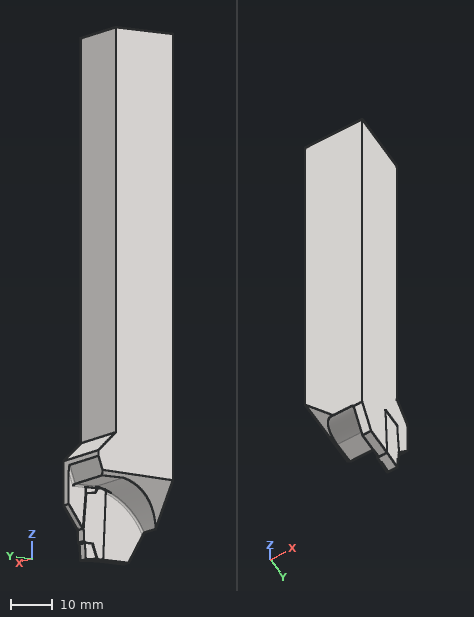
import cadquery as cq

length = 127.0
shank = 16.0
head_depth = 20.8
blade_end = 0.4

shoulder_z = 28.6
head_top = 23.7
head_bottom = 13.0
blade_tip_y = 4.1
front_corner_z = 7.6

blade_thickness = 2.4
blade_x = shank - blade_thickness
roof_z = 17.9
roof_arc_y = 13.5
roof_back_y = 19.3
roof_mid_arc = (4.5, 13.7)
relief_back_z = 22.4
root_fillet = 0.5
clearance = 6.4

flank_z = 18.5
flank_run = 7.7
flank_drop = 10.3
flank_tilt = 1.5

insert_proud = 0.4
insert_x = blade_x - insert_proud
insert_top = 17.5
insert_front_top_y = 10.7
insert_front_foot_y = 11.4
insert_back_y = 16.9
insert_tip_y = 16.1
insert_foot_z = 7.4
insert_back_lower = (16.8, 4.3)

chip_depth = 0.3
lower_chip_corner = (16.4, 4.0)
upper_chip_corner = (insert_tip_y, 16.0)
lower_chip_face = [lower_chip_corner, (14.4, 4.0), (13.1, blade_end), (insert_tip_y, 0),
                   (insert_tip_y + clearance, 0), (insert_tip_y + clearance, 4.0)]
upper_chip_face = [upper_chip_corner, (13.6, 16.4), (13.0, insert_top), (insert_tip_y, insert_top)]


def side_profile(x):
    """Sketch plane whose axes are global Y and Z, at the given X."""
    return cq.Workplane("YZ", origin=(x, 0, 0))


def make_blank():
    return (
        side_profile(0)
        .moveTo(0, length)
        .lineTo(shank, length)
        .lineTo(shank, shoulder_z)
        .lineTo(head_depth, head_top)
        .lineTo(head_depth, head_bottom)
        .lineTo(insert_back_y, insert_foot_z)
        .lineTo(insert_front_foot_y, blade_end)
        .lineTo(blade_tip_y, blade_end)
        .lineTo(0, front_corner_z)
        .close()
        .extrude(shank)
    )


def make_relief():
    """Material removed beside the blade, with a rounded root."""
    slope = (relief_back_z - roof_z) / (head_depth - roof_back_y)
    return (
        side_profile(-clearance)
        .moveTo(roof_back_y, roof_z)
        .lineTo(roof_arc_y, roof_z)
        .threePointArc(roof_mid_arc, (0, front_corner_z + blade_end))
        .lineTo(-clearance, -clearance)
        .lineTo(head_depth + clearance, -clearance)
        .lineTo(head_depth + clearance, roof_z + slope * (head_depth + clearance - roof_back_y))
        .close()
        .extrude(blade_x + clearance)
        .faces(">X")
        .edges()
        .fillet(root_fillet)
    )


def make_flank_cut():
    """Wedge below the sloped flank, on the -X side."""
    reach = 2 * head_depth
    return (
        cq.Workplane("XZ", origin=(0, reach, 0))
        .polyline([(0, flank_z), (flank_run, flank_z - flank_drop), (flank_run, -clearance),
                   (-clearance, -clearance), (-clearance, flank_z)])
        .close()
        .extrude(2 * reach)
        .rotate((0, 0, flank_z), (1, 0, flank_z), flank_tilt)
    )


def make_insert_body():
    return (
        side_profile(insert_x)
        .polyline([(insert_front_top_y, insert_top), (insert_tip_y, insert_top), upper_chip_corner,
                   (insert_back_y, insert_foot_z), insert_back_lower, lower_chip_corner,
                   (insert_tip_y, 0), (insert_front_foot_y, blade_end)])
        .close()
        .extrude(shank - insert_x)
    )


def make_chip_face(corners):
    return side_profile(insert_x).polyline(corners).close().extrude(chip_depth)


insert_body = make_insert_body()
insert = insert_body
for corners in (lower_chip_face, upper_chip_face):
    insert = insert.cut(make_chip_face(corners))

holder = make_blank().cut(make_relief()).cut(make_flank_cut()).cut(insert_body)
result = cq.Compound.makeCompound([holder.val(), insert.val()])